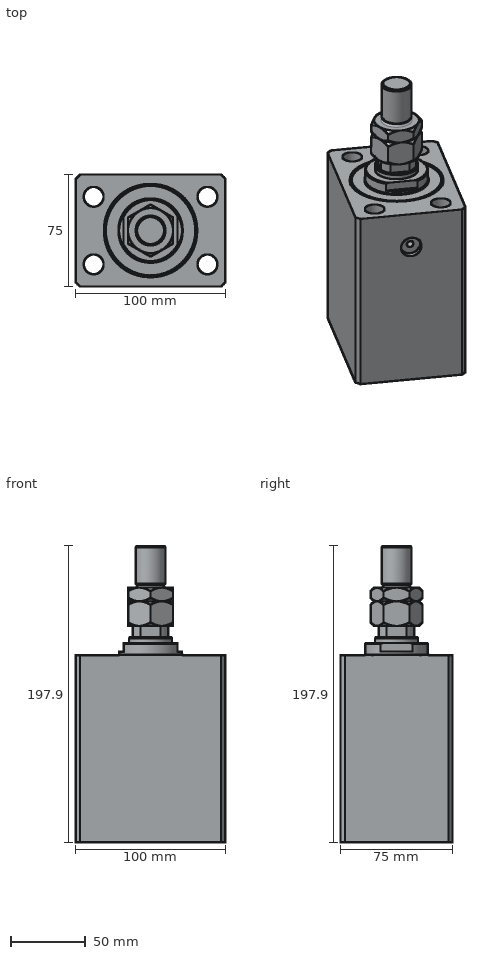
import cadquery as cq
import math

FULL_TURN = 360

HOUSING_TOP = 124.9
GLAND_TOP = HOUSING_TOP + 8.1
COLLAR_TOP = GLAND_TOP + 4.0
LOWER_HEX_BOTTOM = 144.5
LOWER_HEX_TOP = 160.9
UPPER_HEX_TOP = 170.0
THREAD_BOTTOM = 172.8
STUD_TOP = 197.9

HOUSING_X = 100.0
HOUSING_Y = 75.0
CORNER_CHAMFER = 3.0
BOLT_HOLE_DIAMETER = 13.0
BOLT_SPACING_X = 76.0
BOLT_SPACING_Y = 45.1

PORT_Z = HOUSING_TOP - 24.7
PORT_RECESS_RADIUS = 7.0
PORT_RECESS_DEPTH = 4.2
PORT_HOLE_RADIUS = 2.2

FLANGE_RADIUS = 31.3
FLANGE_DEPTH = 17.8
FLANGE_CHAMFER = 1.4
BOSS_RADIUS = 21.0
BOSS_CHAMFER = 0.5
BOSS_FOOT_FLARE = 0.5
BOSS_FLAT_WIDTH = 36.0
BOSS_FLAT_BOTTOM = HOUSING_TOP + 2.4

ROD_RADIUS = 14.5
ROD_BOTTOM = 89.0
ROD_CHAMFER = 0.8
NECK_RADIUS = ROD_RADIUS - ROD_CHAMFER
NECK_FLAT_WIDTH = 24.0

HEX_FLAT_WIDTH = 30.0
HEX_TURN = 30
THREAD_DIAMETER = 20.0
THREAD_RADIUS = THREAD_DIAMETER / 2
THREAD_CHAMFER = 1.0
UNDERCUT_RADIUS = 9.0
UNDERCUT_FILLET = 1.4


def cylinder(radius, bottom, top):
    """Solid cylinder about the Z axis between two heights."""
    return cq.Workplane("XY").workplane(offset=bottom).circle(radius).extrude(top - bottom)


def revolved(profile):
    """Solid turned about the Z axis from (radius, height) points."""
    return cq.Workplane("XZ").polyline(profile).close().revolve(FULL_TURN, (0, 0, 0), (0, 1, 0))


def make_housing():
    block = cq.Workplane("XY").rect(HOUSING_X, HOUSING_Y).extrude(HOUSING_TOP)
    block = block.edges("|Z").chamfer(CORNER_CHAMFER)
    block = (
        block.faces(">Z").workplane()
        .rect(BOLT_SPACING_X, BOLT_SPACING_Y, forConstruction=True).vertices()
        .hole(BOLT_HOLE_DIAMETER)
    )

    block = block.cut(cylinder(FLANGE_RADIUS, HOUSING_TOP - FLANGE_DEPTH, HOUSING_TOP))
    block = block.cut(cylinder(ROD_RADIUS, ROD_BOTTOM, HOUSING_TOP))

    port_face = cq.Workplane("YZ", origin=(-HOUSING_X / 2, 0, PORT_Z))
    recess = port_face.circle(PORT_RECESS_RADIUS).extrude(PORT_RECESS_DEPTH)
    hole = port_face.circle(PORT_HOLE_RADIUS).extrude(HOUSING_X / 2)
    return block.cut(recess).cut(hole.cut(cylinder(ROD_RADIUS, 0, HOUSING_TOP)))


def make_gland():
    flange_bottom = HOUSING_TOP - FLANGE_DEPTH
    body = revolved([
        (ROD_RADIUS, flange_bottom),
        (FLANGE_RADIUS, flange_bottom),
        (FLANGE_RADIUS, HOUSING_TOP - FLANGE_CHAMFER),
        (FLANGE_RADIUS - FLANGE_CHAMFER, HOUSING_TOP),
        (BOSS_RADIUS + BOSS_FOOT_FLARE, HOUSING_TOP),
        (BOSS_RADIUS, HOUSING_TOP + BOSS_FOOT_FLARE),
        (BOSS_RADIUS, GLAND_TOP - BOSS_CHAMFER),
        (BOSS_RADIUS - BOSS_CHAMFER, GLAND_TOP),
        (ROD_RADIUS, GLAND_TOP),
    ])

    flat_height = GLAND_TOP - BOSS_FLAT_BOTTOM
    keep = (
        cq.Workplane("XY").workplane(offset=BOSS_FLAT_BOTTOM)
        .rect(BOSS_FLAT_WIDTH, 2 * FLANGE_RADIUS).extrude(flat_height)
    )
    waste = cylinder(FLANGE_RADIUS, BOSS_FLAT_BOTTOM, GLAND_TOP).cut(keep)
    return body.cut(waste)


def make_rod():
    shaft = cylinder(ROD_RADIUS, ROD_BOTTOM, COLLAR_TOP).faces(">Z").chamfer(ROD_CHAMFER)
    neck_height = LOWER_HEX_BOTTOM - COLLAR_TOP
    square = (
        cq.Workplane("XY").workplane(offset=COLLAR_TOP)
        .rect(NECK_FLAT_WIDTH, NECK_FLAT_WIDTH).extrude(neck_height)
    )
    neck = cylinder(NECK_RADIUS, COLLAR_TOP, LOWER_HEX_BOTTOM).intersect(square)
    return shaft.union(neck)


def make_hexagon(bottom, top):
    """Hexagon with flats on the X sides, its corners turned off conically at both ends."""
    flat_radius = HEX_FLAT_WIDTH / 2
    corner_radius = flat_radius / math.cos(math.pi / 6)
    corner_chamfer = corner_radius - flat_radius
    prism = (
        cq.Workplane("XY").workplane(offset=bottom)
        .polygon(6, 2 * corner_radius).extrude(top - bottom)
        .rotate((0, 0, 0), (0, 0, 1), HEX_TURN)
    )
    envelope = cylinder(corner_radius, bottom, top).faces("<Z or >Z").chamfer(corner_chamfer)
    return prism.intersect(envelope)


def make_rod_end():
    hexagons = make_hexagon(LOWER_HEX_BOTTOM, LOWER_HEX_TOP).union(
        make_hexagon(LOWER_HEX_TOP, UPPER_HEX_TOP)
    )
    fillet_center_radius = UNDERCUT_RADIUS + UNDERCUT_FILLET
    fillet_center_height = UPPER_HEX_TOP + UNDERCUT_FILLET
    fillet_reach = UNDERCUT_FILLET * math.sqrt(0.5)
    fillet_middle = (fillet_center_radius - fillet_reach, fillet_center_height - fillet_reach)

    undercut_cone_height = THREAD_RADIUS - UNDERCUT_RADIUS
    stud = (
        cq.Workplane("XZ")
        .moveTo(0, UPPER_HEX_TOP)
        .lineTo(fillet_center_radius, UPPER_HEX_TOP)
        .threePointArc(fillet_middle, (UNDERCUT_RADIUS, fillet_center_height))
        .lineTo(UNDERCUT_RADIUS, THREAD_BOTTOM - undercut_cone_height)
        .lineTo(THREAD_RADIUS, THREAD_BOTTOM)
        .lineTo(THREAD_RADIUS, STUD_TOP - THREAD_CHAMFER)
        .lineTo(THREAD_RADIUS - THREAD_CHAMFER, STUD_TOP)
        .lineTo(0, STUD_TOP)
        .close()
        .revolve(FULL_TURN, (0, 0, 0), (0, 1, 0))
    )
    return hexagons.union(stud)


housing = make_housing()
gland = make_gland()
rod = make_rod()
rod_end = make_rod_end()

result = cq.Compound.makeCompound([housing.val(), gland.val(), rod.val(), rod_end.val()])